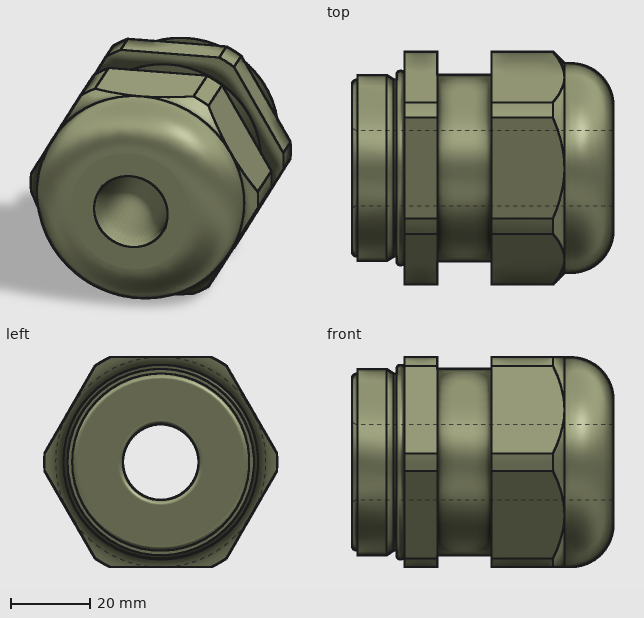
import cadquery as cq
import math


thread_start = 1.4
runout_start = 8.7
runout_end = 10.55
seal_start = 11.3
flange_start = 13.25
flange_end = 21.6
nut_start = 35.2
dome_start = 55.05
overall_length = 66.0

neck_diameter = 44.7
thread_diameter = 47.0
seal_diameter = 49.1
body_diameter = 47.2
bore_diameter = 19.0
across_flats = 53.0
across_corners = 58.8

edge_radius = 1.4
hex_corner_chamfer = (across_corners - across_flats) / 2
nut_end = 53.6
dome_radius = overall_length - dome_start


def cylinder(start, end, diameter):
    """Solid cylinder on the X axis between two stations."""
    return cq.Workplane("YZ", origin=(start, 0, 0)).circle(diameter / 2).extrude(end - start)


def turned(profile):
    """Revolve a closed XY profile about the X axis."""
    return profile.revolve(360, (0, 0, 0), (1, 0, 0))


def hexagon(start, end):
    """Sharp hexagonal prism with flats facing +Z and -Z."""
    sharp_corner_radius = across_flats / 2 / math.cos(math.pi / 6)
    corners = [
        (sharp_corner_radius * math.cos(i * math.pi / 3), sharp_corner_radius * math.sin(i * math.pi / 3))
        for i in range(6)
    ]
    return cq.Workplane("YZ", origin=(start, 0, 0)).polyline(corners).close().extrude(end - start)


def entry_thread():
    """Simplified thread: a plain sleeve with a rounded nose and a tapered run-out to the neck."""
    neck = cylinder(0, flange_start, neck_diameter).faces("<X").edges().fillet(edge_radius)
    sleeve = turned(
        cq.Workplane("XY")
        .moveTo(thread_start, 0)
        .lineTo(thread_start, thread_diameter / 2)
        .lineTo(runout_start, thread_diameter / 2)
        .lineTo(runout_end, neck_diameter / 2)
        .lineTo(runout_end, 0)
        .close()
    )
    return neck.union(sleeve)


def seal_ring():
    """O-ring with a semicircular crown, seated on the neck against the flange."""
    crown_radius = (flange_start - seal_start) / 2
    crown_base = seal_diameter / 2 - crown_radius
    return turned(
        cq.Workplane("XY")
        .moveTo(seal_start, 0)
        .lineTo(seal_start, crown_base)
        .threePointArc((seal_start + crown_radius, seal_diameter / 2), (flange_start, crown_base))
        .lineTo(flange_start, 0)
        .close()
    )


def flange():
    """Hexagonal flange with its corners turned round."""
    return hexagon(flange_start, flange_end).intersect(cylinder(flange_start, flange_end, across_corners))


def cap_nut():
    """Hexagonal nut with chamfered corners and a domed end."""
    envelope = cylinder(nut_start, nut_end, across_corners).faces(">X").edges().chamfer(hex_corner_chamfer)
    grip = hexagon(nut_start, nut_end).intersect(envelope)
    dome = cylinder(nut_start, overall_length, across_flats).faces(">X").edges().fillet(dome_radius)
    return grip.union(dome)


def bore():
    """Cutter for the through bore, with a rounded mouth at the thread end."""
    bore_radius = bore_diameter / 2
    return turned(
        cq.Workplane("XY")
        .lineTo(0, bore_radius + edge_radius)
        .radiusArc((edge_radius, bore_radius), -edge_radius)
        .lineTo(overall_length, bore_radius)
        .lineTo(overall_length, 0)
        .close()
    )


body = cylinder(flange_end, nut_start, body_diameter)
result = entry_thread().union(seal_ring()).union(flange()).union(body).union(cap_nut()).cut(bore())